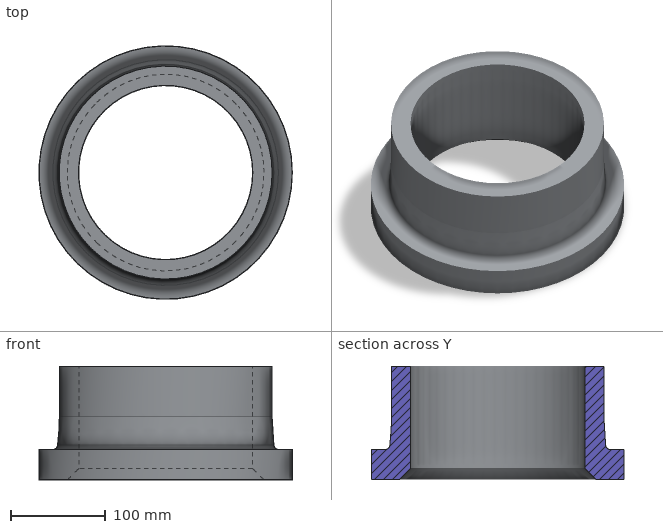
import cadquery as cq
import math

flange_radius = 134.0
flange_height = 32.2

total_height = 120.0
barrel_radius = 112.5
cone_top = 67.0
cone_foot_radius = 114.5
bore_radius = 92.0
bore_chamfer = 12.0

fillet_radius = 4.8
fillet_outer_radius = cone_foot_radius + fillet_radius
fillet_top = flange_height + fillet_radius
fillet_sag = fillet_radius * (1 - math.sqrt(0.5))

section = (
    cq.Workplane("XZ")
    .moveTo(bore_radius + bore_chamfer, 0)
    .lineTo(flange_radius, 0)
    .lineTo(flange_radius, flange_height)
    .lineTo(fillet_outer_radius, flange_height)
    .threePointArc(
        (cone_foot_radius + fillet_sag, flange_height + fillet_sag),
        (cone_foot_radius, fillet_top),
    )
    .lineTo(barrel_radius, cone_top)
    .lineTo(barrel_radius, total_height)
    .lineTo(bore_radius, total_height)
    .lineTo(bore_radius, bore_chamfer)
    .close()
)

result = section.revolve(360, (0, 0, 0), (0, 1, 0))